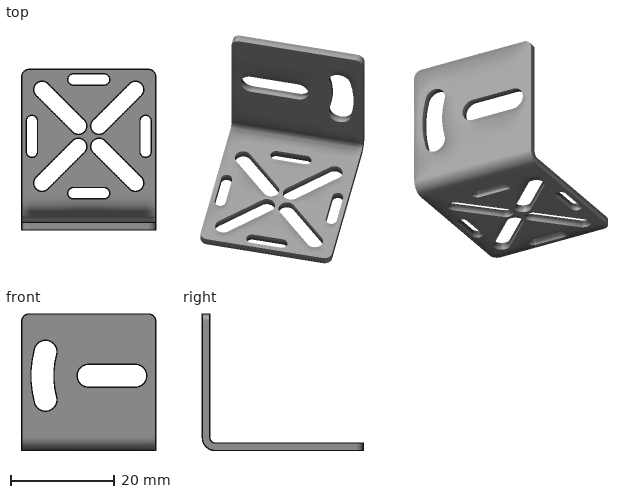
import cadquery as cq
import math

width = 26.0
depth = 31.18
height = 26.5
thickness = 1.5
bend_inner_radius = 1.0
bend_outer_radius = bend_inner_radius + thickness
corner_radius = 1.5

pattern_y = depth - width / 2
diagonal_slot_width = 3.2
diagonal_inner_offset = 2.0
diagonal_outer_offset = 9.05
edge_slot_length = 8.1
edge_slot_width = 2.15
edge_slot_offset = 11.0

upright_slot_width = 4.4
upright_slot_z = 14.5
straight_slot_length = 13.45
straight_slot_x = 4.5
pivot_x = straight_slot_x + (straight_slot_length - upright_slot_width) / 2
arc_slot_radius = 18.0
arc_slot_half_angle = 15.0


def bent_sheet():
    """L-shaped sheet with a rounded bend and rounded free corners."""
    profile = (
        cq.Workplane("YZ")
        .polyline([
            (0, 0),
            (depth, 0),
            (depth, thickness),
            (thickness, thickness),
            (thickness, height),
            (0, height),
        ])
        .close()
    )
    sheet = profile.extrude(width / 2, both=True)
    sheet = sheet.edges(cq.selectors.NearestToPointSelector((0, 0, 0))).fillet(bend_outer_radius)
    inner_corner = (0, thickness, thickness)
    sheet = sheet.edges(cq.selectors.NearestToPointSelector(inner_corner)).fillet(bend_inner_radius)
    sheet = sheet.faces(">Y").edges("|Z").fillet(corner_radius)
    return sheet.faces(">Z").edges("|Y").fillet(corner_radius)


def base_slots():
    """Four diagonal slots and four edge slots, one of each per quarter turn."""
    diagonal_middle = math.sqrt(2) * (diagonal_inner_offset + diagonal_outer_offset) / 2
    diagonal_travel = math.sqrt(2) * (diagonal_outer_offset - diagonal_inner_offset)
    plane = cq.Workplane("XY")
    diagonal = (
        plane.center(diagonal_middle, 0)
        .slot2D(diagonal_travel + diagonal_slot_width, diagonal_slot_width)
        .extrude(thickness)
        .rotate((0, 0, 0), (0, 0, 1), 45)
    )
    edge = (
        plane.center(edge_slot_offset, 0)
        .slot2D(edge_slot_length, edge_slot_width, 90)
        .extrude(thickness)
    )
    slot_pair = diagonal.union(edge)
    slots = slot_pair
    for angle in (90, 180, 270):
        slots = slots.union(slot_pair.rotate((0, 0, 0), (0, 0, 1), angle))
    return slots.translate((0, pattern_y, 0))


def upright_plane():
    """Plane on the outer upright face, with its normal toward -Y."""
    return cq.Workplane("XZ")


def straight_slot():
    return (
        upright_plane()
        .center(straight_slot_x, upright_slot_z)
        .slot2D(straight_slot_length, upright_slot_width)
        .extrude(-thickness)
    )


def arc_slot():
    """Round-ended slot following an arc on the -X side of the pivot."""
    def point(radius, angle):
        turn = math.radians(angle)
        return (-radius * math.cos(turn), radius * math.sin(turn))

    half_width = upright_slot_width / 2
    inner = arc_slot_radius - half_width
    outer = arc_slot_radius + half_width
    end = arc_slot_half_angle
    cap_angle = end + math.degrees(math.atan(half_width / arc_slot_radius))
    cap_radius = math.hypot(arc_slot_radius, half_width)
    return (
        upright_plane()
        .center(pivot_x, upright_slot_z)
        .moveTo(*point(outer, -end))
        .threePointArc(point(outer, 0), point(outer, end))
        .threePointArc(point(cap_radius, cap_angle), point(inner, end))
        .threePointArc(point(inner, 0), point(inner, -end))
        .threePointArc(point(cap_radius, -cap_angle), point(outer, -end))
        .close()
        .extrude(-thickness)
    )


bracket = bent_sheet().cut(base_slots()).cut(straight_slot()).cut(arc_slot())
result = bracket.translate((0, -depth / 2, 0))